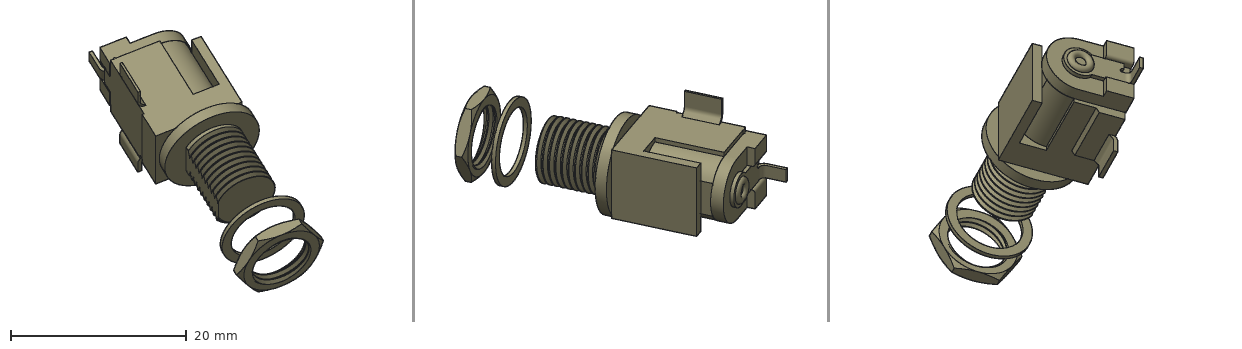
import cadquery as cq
import math


thread_radius = 3.95
thread_root_radius = 3.5
thread_pitch = 0.797
groove_width = 0.66
groove_overlap = 0.04
thread_length = 8.3
thread_start = 0.57
thread_start_turn = 90
thread_flat_y = -3.29

flange_radius = 6.0
flange_thickness = 1.4
body_half = 4.5
collar_back_x = -4.86
collar_bottom_y = -6.46
body_back_x = -13.4
body_bottom_y = -6.24
wall_back_x = -11.9
wall_inner_y = 3.29
core_radius = 3.93
skirt_front_x = -5.85
skirt_top_y = -2.71
skirt_depth = 0.57
skirt_chamfer = 0.38
nib_y = -5.7
nib_half_width = 0.17

tail_back_x = -14.97
tail_radius = 3.97
tail_bottom_y = -6.35
lug_back_x = -15.95
lug_top_y = -2.99
slot_half_width = 1.55
lug_edge_radius = 0.4

strip_thickness = 0.5
strip_radius = 2.07
strip_end_y = -5.3
terminal_top_z = 0.16
terminal_bottom_z = -1.5
terminal_end_x = -18.49
terminal_thickness = 0.44
terminal_bottom_y = -6.46
bend_inner_radius = 0.56
notch_depth = 0.45
notch_height = 0.56
rivet_ring_radius = 1.15
rivet_bead_radius = 0.5
rivet_height = 0.46

clip_back_x = -10.47
clip_front_x = skirt_front_x
clip_slant_angle = 45
clip_root_length = 1.0
upper_clip_end_z = 7.5
upper_clip_bend_z = 5.48
upper_clip_outer_y = -6.5
upper_clip_thickness = 0.3
upper_clip_bend_radius = 0.7
lower_clip_end_z = 7.45
lower_clip_bend_z = 5.85
lower_clip_outer_y = -6.53
lower_clip_thickness = 0.53
lower_clip_bend_radius = 0.53

washer_x = 12.62
washer_thickness = 0.5
washer_outer_radius = 5.22
washer_inner_radius = 4.05

nut_x = 16.22
nut_thickness = 1.6
nut_across_flats = 9.57
nut_bore_radius = 3.55
nut_groove_radius = 3.95
nut_chamfer_angle = 30


def x_cylinder(x_start, x_end, radius):
    return cq.Workplane("YZ").workplane(offset=x_start).circle(radius).extrude(x_end - x_start)


def box(x_range, y_range, z_range):
    sizes = [high - low for low, high in (x_range, y_range, z_range)]
    return cq.Workplane("XY").box(*sizes, centered=False).translate((x_range[0], y_range[0], z_range[0]))


def yz_prism(points, x_start, x_end):
    return cq.Workplane("YZ").workplane(offset=x_start).polyline(points).close().extrude(x_end - x_start)


def thread_groove(open_radius, tip_radius, x_start, length, start_turn=0):
    """Right-handed V groove around X; it starts at -Z, turned on by start_turn degrees."""
    mouth_radius = open_radius + math.copysign(groove_overlap, open_radius - tip_radius)
    half_mouth = groove_width / 2 * (mouth_radius - tip_radius) / (open_radius - tip_radius)

    def helix(radius, shift):
        return cq.Wire.makeHelix(thread_pitch, length, radius).translate(cq.Vector(0, 0, shift))

    tip = helix(tip_radius, 0)
    upper = helix(mouth_radius, half_mouth)
    lower = helix(mouth_radius, -half_mouth)
    edges = (tip, upper, lower)
    sides = [cq.Face.makeRuledSurface(*pair) for pair in ((tip, upper), (upper, lower), (lower, tip))]
    ends = []
    for position in (0, 1):
        corners = [edge.positionAt(position) for edge in edges]
        ends.append(cq.Face.makeFromWires(cq.Wire.makePolygon(corners, close=True)))
    groove = cq.Workplane(cq.Solid.makeSolid(cq.Shell.makeShell(sides + ends)))
    along_x = groove.rotate((0, 0, 0), (0, 1, 0), 90).rotate((0, 0, 0), (1, 0, 0), start_turn)
    return along_x.translate((x_start, 0, 0))


def make_threaded_neck():
    neck = x_cylinder(-flange_thickness / 2, thread_length, thread_radius)
    groove = thread_groove(thread_radius, thread_root_radius, thread_start, thread_length, thread_start_turn)
    neck = neck.cut(groove)
    far = 2 * thread_radius
    below_flat = box((0, thread_length + far), (-far, thread_flat_y), (-far, far))
    return neck.cut(below_flat)


def make_housing():
    flange = x_cylinder(-flange_thickness, 0, flange_radius)
    collar = box((collar_back_x, -flange_thickness), (collar_bottom_y, body_half), (-body_half, body_half))
    lower_block = box((body_back_x, collar_back_x), (body_bottom_y, 0), (-body_half, body_half))
    core = x_cylinder(body_back_x, collar_back_x, core_radius).intersect(
        box((body_back_x, collar_back_x), (-core_radius, wall_inner_y), (-core_radius, core_radius))
    )
    wall = box((wall_back_x, collar_back_x), (wall_inner_y, body_half), (-body_half, body_half))
    skirt_z = -body_half - skirt_depth
    skirt = yz_prism(
        [
            (skirt_top_y, -body_half),
            (skirt_top_y - skirt_chamfer, skirt_z),
            (body_bottom_y, skirt_z),
            (body_bottom_y, 0),
            (skirt_top_y, 0),
        ],
        body_back_x,
        skirt_front_x,
    )
    nib = (
        cq.Workplane("XY")
        .workplane(offset=tail_radius - nib_half_width)
        .polyline(
            [
                (body_back_x, nib_y - nib_half_width),
                (body_back_x - nib_half_width, nib_y),
                (body_back_x, nib_y + nib_half_width),
            ]
        )
        .close()
        .extrude(body_half - tail_radius + nib_half_width)
    )
    housing = flange
    for piece in (collar, lower_block, core, wall, skirt, nib):
        housing = housing.union(piece)
    return housing


def make_tail():
    plate = x_cylinder(tail_back_x, body_back_x, tail_radius).union(
        box((tail_back_x, body_back_x), (tail_bottom_y, 0), (-tail_radius, tail_radius))
    )
    slot = box(
        (tail_back_x, body_back_x), (tail_bottom_y, body_bottom_y), (-slot_half_width, slot_half_width)
    )
    tail = plate.cut(slot)
    upper_lug = box((lug_back_x, body_back_x), (tail_bottom_y, lug_top_y), (slot_half_width, tail_radius))
    upper_lug = upper_lug.edges("<X and <Z").fillet(lug_edge_radius)
    return tail.union(upper_lug).union(upper_lug.mirror("XY"))


def make_contact():
    strip_back_x = tail_back_x - strip_thickness
    strip = x_cylinder(strip_back_x, tail_back_x, strip_radius)
    bend_start_y = terminal_bottom_y + terminal_thickness + bend_inner_radius
    blade = yz_prism(
        [
            (0, slot_half_width),
            (strip_end_y, slot_half_width),
            (strip_end_y, terminal_top_z + notch_height),
            (strip_end_y + notch_depth * 2 / 3, terminal_top_z + notch_height),
            (strip_end_y + notch_depth, terminal_top_z + notch_height / 2),
            (strip_end_y + notch_depth / 2, terminal_top_z),
            (bend_start_y, terminal_top_z),
            (bend_start_y, terminal_bottom_z),
            (strip_end_y, terminal_bottom_z),
            (strip_end_y, -slot_half_width),
            (0, -slot_half_width),
        ],
        strip_back_x,
        tail_back_x,
    )
    bend_center_x = strip_back_x - bend_inner_radius
    terminal_top_y = terminal_bottom_y + terminal_thickness
    diagonal = math.sqrt(0.5)
    outer_x_radius = tail_back_x - bend_center_x
    outer_y_radius = bend_start_y - terminal_bottom_y
    terminal = (
        cq.Workplane("XY")
        .workplane(offset=terminal_bottom_z)
        .moveTo(tail_back_x, bend_start_y)
        .threePointArc(
            (bend_center_x + outer_x_radius * diagonal, bend_start_y - outer_y_radius * diagonal),
            (bend_center_x, terminal_bottom_y),
        )
        .lineTo(terminal_end_x, terminal_bottom_y)
        .lineTo(terminal_end_x, terminal_top_y)
        .lineTo(bend_center_x, terminal_top_y)
        .threePointArc(
            (bend_center_x + bend_inner_radius * diagonal, bend_start_y - bend_inner_radius * diagonal),
            (strip_back_x, bend_start_y),
        )
        .close()
        .extrude(terminal_top_z - terminal_bottom_z)
    )
    bead_center_x = strip_back_x - rivet_height + rivet_bead_radius
    rivet = (
        cq.Workplane("XY")
        .center(bead_center_x, rivet_ring_radius)
        .circle(rivet_bead_radius)
        .revolve(360, (0, -rivet_ring_radius, 0), (1, -rivet_ring_radius, 0))
    )
    return strip.union(blade).union(terminal).union(rivet)


def make_clip(end_z, bend_z, outer_y, thickness, inner_bend_radius, side):
    """Upright leaf that bends inward and runs at a slant into the body; side is +1 up, -1 down."""
    outer_bend_radius = inner_bend_radius + thickness
    center_y = outer_y + outer_bend_radius
    slant = math.radians(clip_slant_angle)

    def bend_point(radius, angle):
        return (center_y - radius * math.cos(angle), side * (bend_z - radius * math.sin(angle)))

    def root_point(radius):
        y, z = bend_point(radius, slant)
        return (y + clip_root_length * math.sin(slant), z - side * clip_root_length * math.cos(slant))

    return (
        cq.Workplane("YZ")
        .workplane(offset=clip_back_x)
        .moveTo(outer_y, side * end_z)
        .lineTo(outer_y, side * bend_z)
        .threePointArc(bend_point(outer_bend_radius, slant / 2), bend_point(outer_bend_radius, slant))
        .lineTo(*root_point(outer_bend_radius))
        .lineTo(*root_point(inner_bend_radius))
        .lineTo(*bend_point(inner_bend_radius, slant))
        .threePointArc(bend_point(inner_bend_radius, slant / 2), bend_point(inner_bend_radius, 0))
        .lineTo(outer_y + thickness, side * end_z)
        .close()
        .extrude(clip_front_x - clip_back_x)
    )


def make_clips():
    upper_clip = make_clip(
        upper_clip_end_z,
        upper_clip_bend_z,
        upper_clip_outer_y,
        upper_clip_thickness,
        upper_clip_bend_radius,
        1,
    )
    lower_clip = make_clip(
        lower_clip_end_z,
        lower_clip_bend_z,
        lower_clip_outer_y,
        lower_clip_thickness,
        lower_clip_bend_radius,
        -1,
    )
    return upper_clip, lower_clip


def make_jack():
    jack = make_housing()
    for piece in (make_threaded_neck(), make_tail(), make_contact(), *make_clips()):
        jack = jack.union(piece)
    return jack


def make_washer():
    washer = x_cylinder(washer_x, washer_x + washer_thickness, washer_outer_radius)
    return washer.cut(x_cylinder(washer_x, washer_x + washer_thickness, washer_inner_radius))


def make_nut():
    flat_radius = nut_across_flats / 2
    corner_radius = flat_radius / math.cos(math.pi / 6)
    hexagon = (
        cq.Workplane("YZ").workplane(offset=nut_x).polygon(6, 2 * corner_radius).extrude(nut_thickness)
    )
    chamfer_x = (corner_radius - flat_radius) * math.tan(math.radians(nut_chamfer_angle))
    nut_end = nut_x + nut_thickness
    cone_blank = (
        cq.Workplane("XY")
        .polyline(
            [
                (nut_x, 0),
                (nut_x, flat_radius),
                (nut_x + chamfer_x, corner_radius),
                (nut_end - chamfer_x, corner_radius),
                (nut_end, flat_radius),
                (nut_end, 0),
            ]
        )
        .close()
        .revolve(360, (0, 0, 0), (1, 0, 0))
    )
    nut = hexagon.intersect(cone_blank).cut(x_cylinder(nut_x, nut_end, nut_bore_radius))
    groove_length = nut_thickness + 2 * thread_pitch
    return nut.cut(
        thread_groove(nut_bore_radius, nut_groove_radius, nut_x - thread_pitch, groove_length)
    )


jack = make_jack()
washer = make_washer()
nut = make_nut()

result = cq.Compound.makeCompound([jack.val(), washer.val(), nut.val()])